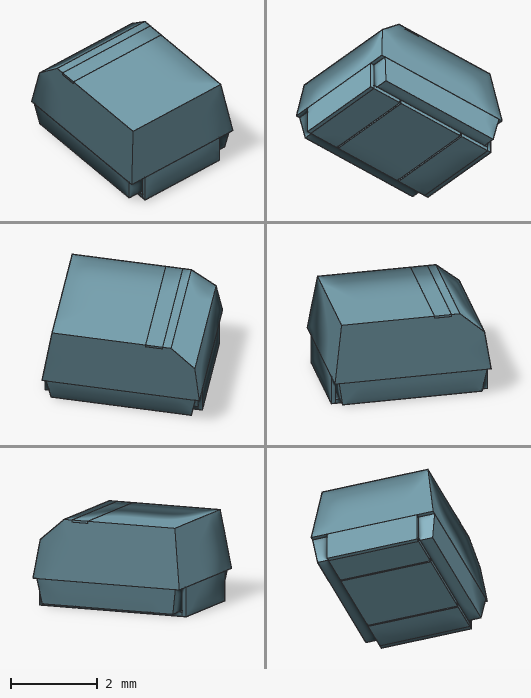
import cadquery as cq
import math

length = 3.7
width = 3.0
height = 2.1

parting_z = 0.7
cover_inset = 0.2
base_end_inset = 0.1
base_side_inset = 0.085
nose_length = 0.7
nose_drop = 0.5

metal_thickness = 0.1
terminal_width = 2.213
foot_end = 0.9
pad_gap = 0.04

band_start = 0.9
band_length = 0.4
band_depth = 0.048

cover_height = height - parting_z
draft_angle = math.degrees(math.atan(cover_inset / cover_height))
base_length = length - 2 * metal_thickness
base_height = parting_z - metal_thickness
pad_length = length - 2 * (foot_end + pad_gap)
end_x = length / 2


def box_between(x_start, x_end, y_size, z_start, z_end):
    """Box centred on Y between two X positions and two Z positions."""
    return cq.Workplane("XY").box(
        x_end - x_start, y_size, z_end - z_start, centered=(False, True, False)
    ).translate((x_start, 0, z_start))


def make_cover_blank():
    """Drafted upper moulding with the sloped nose at its -X end."""
    blank = (
        cq.Workplane("XY", origin=(0, 0, parting_z))
        .rect(length, width)
        .extrude(cover_height, taper=draft_angle)
    )
    wall_lean = cover_inset * (cover_height - nose_drop) / cover_height
    nose_cutter = (
        cq.Workplane("XZ")
        .moveTo(-end_x + wall_lean, height - nose_drop)
        .lineTo(-end_x + nose_length, height)
        .lineTo(-end_x, height)
        .lineTo(-end_x, height - nose_drop)
        .close()
        .extrude(width / 2, both=True)
    )
    return blank.cut(nose_cutter)


def make_base():
    """Lower moulding, narrowing downwards from the parting plane."""
    return (
        cq.Workplane("XY", origin=(0, 0, parting_z))
        .rect(base_length, width)
        .workplane(offset=-base_height)
        .rect(base_length - 2 * base_end_inset, width - 2 * base_side_inset)
        .loft(ruled=True)
    )


def make_upright(side):
    """Vertical terminal plate at the -X (side = -1) or +X (side = 1) end."""
    outer = side * end_x
    inner = side * (end_x - metal_thickness)
    return box_between(min(outer, inner), max(outer, inner), terminal_width, 0, parting_z)


def make_foot(side):
    """Horizontal terminal plate running inwards from an upright."""
    outer = side * (end_x - metal_thickness)
    inner = side * (end_x - foot_end)
    return box_between(min(outer, inner), max(outer, inner), terminal_width, 0, metal_thickness)


cover_blank = make_cover_blank()
band_x = -end_x + band_start
band_envelope = box_between(band_x, band_x + band_length, width, height - band_depth, height)
band = cover_blank.intersect(band_envelope)
cover = cover_blank.cut(band_envelope)

base = make_base()
pad = box_between(-pad_length / 2, pad_length / 2, terminal_width, 0, metal_thickness)

terminals = []
for end_side in (-1, 1):
    terminals.append(make_upright(end_side).val())
    terminals.append(make_foot(end_side).val())

result = cq.Compound.makeCompound([cover.val(), band.val(), base.val(), pad.val(), *terminals])